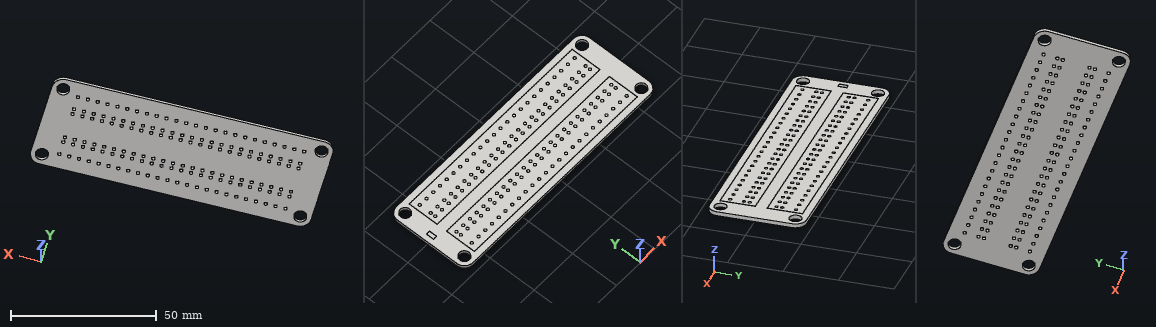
import cadquery as cq

BOARD_LENGTH = 100.0
BOARD_WIDTH = 35.0
BOARD_THICKNESS = 1.6
CORNER_RADIUS = 4.0

MOUNT_DIAMETER = 4.4
MOUNT_EDGE_DISTANCE = 4.0

LEAD_DIAMETER = 1.1
LEAD_PITCH = 3.5
LEAD_COLUMNS = 24
INNER_ROW_GAP = 9.7
INNER_TO_MIDDLE_ROW = 2.0
MIDDLE_TO_OUTER_ROW = 5.0
INNER_ROW_Y = INNER_ROW_GAP / 2
MIDDLE_ROW_Y = INNER_ROW_Y + INNER_TO_MIDDLE_ROW
OUTER_ROW_Y = MIDDLE_ROW_Y + MIDDLE_TO_OUTER_ROW

PLATE_THICKNESS = 0.1
COVER_LENGTH = 84.7
COVER_WIDTH = 12.7
COVER_GAP = 4.3
COVER_Y = (COVER_GAP + COVER_WIDTH) / 2
MARKER_LENGTH = 1.6
MARKER_WIDTH = 3.2
MARKER_X = -47.0
MARKER_Y = 0.6


def lead_points():
    """Centres of all the lead holes."""
    first_x = -LEAD_PITCH * (LEAD_COLUMNS - 1) / 2
    points = []
    for row_y in (INNER_ROW_Y, MIDDLE_ROW_Y, OUTER_ROW_Y):
        for column in range(LEAD_COLUMNS):
            x = first_x + column * LEAD_PITCH
            points.append((x, row_y))
            points.append((x, -row_y))
    return points


def make_board():
    """Rounded board with its mounting holes and lead holes, standing on Z = 0."""
    board = (
        cq.Workplane("XY")
        .rect(BOARD_LENGTH, BOARD_WIDTH)
        .extrude(BOARD_THICKNESS)
        .edges("|Z")
        .fillet(CORNER_RADIUS)
    )
    mount_span_x = BOARD_LENGTH - 2 * MOUNT_EDGE_DISTANCE
    mount_span_y = BOARD_WIDTH - 2 * MOUNT_EDGE_DISTANCE
    mount_holes = (
        cq.Workplane("XY")
        .rect(mount_span_x, mount_span_y, forConstruction=True)
        .vertices()
        .circle(MOUNT_DIAMETER / 2)
        .extrude(BOARD_THICKNESS)
    )
    lead_holes = (
        cq.Workplane("XY")
        .pushPoints(lead_points())
        .circle(LEAD_DIAMETER / 2)
        .extrude(BOARD_THICKNESS)
    )
    return board.cut(mount_holes).cut(lead_holes)


def make_plate(length, width, center_x, center_y):
    """Thin rectangular plate lying on the top face of the board."""
    return (
        cq.Workplane("XY", origin=(center_x, center_y, BOARD_THICKNESS))
        .rect(length, width)
        .extrude(PLATE_THICKNESS)
    )


board = make_board()
cover_plates = [make_plate(COVER_LENGTH, COVER_WIDTH, 0, side * COVER_Y) for side in (-1, 1)]
marker = make_plate(MARKER_LENGTH, MARKER_WIDTH, MARKER_X, MARKER_Y)

result = cq.Compound.makeCompound(
    [board.val(), *[plate.val() for plate in cover_plates], marker.val()]
)